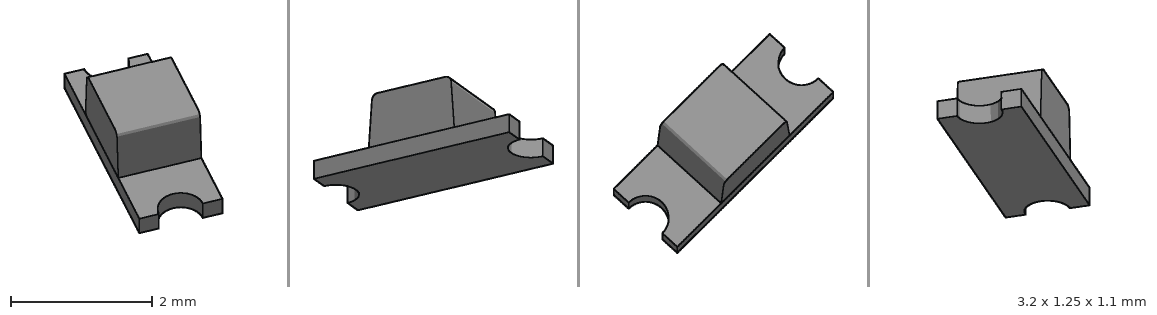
import cadquery as cq

length = 3.2
width = 1.25
height = 1.1

board_thickness = 0.28
notch_radius = 0.33

lens_base_length = 1.4
lens_top_length = 1.285
lens_edge_radius = 0.1
lens_height = height - board_thickness


def make_board():
    """Flat board centred on the origin, with its bottom at Z = 0."""
    board = cq.Workplane("XY").box(length, width, board_thickness, centered=(True, True, False))
    notches = (
        cq.Workplane("XY")
        .pushPoints([(-length / 2, 0), (length / 2, 0)])
        .circle(notch_radius)
        .extrude(board_thickness)
    )
    return board.cut(notches)


def make_lens():
    """Trapezoidal block on the board, rounded along its two upper end edges."""
    lens = (
        cq.Workplane("XZ", origin=(0, 0, board_thickness))
        .moveTo(-lens_base_length / 2, 0)
        .lineTo(lens_base_length / 2, 0)
        .lineTo(lens_top_length / 2, lens_height)
        .lineTo(-lens_top_length / 2, lens_height)
        .close()
        .extrude(width / 2, both=True)
    )
    return lens.faces(">Z").edges("|Y").fillet(lens_edge_radius)


board = make_board()
lens = make_lens()

result = cq.Compound.makeCompound([board.val(), lens.val()])